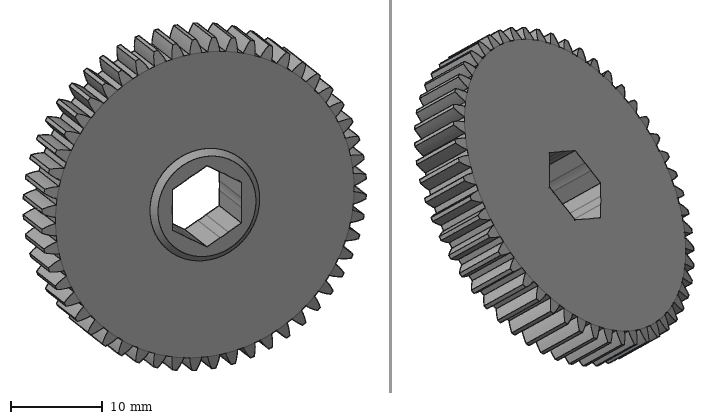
import cadquery as cq
import math

tooth_count = 52
outer_radius = 18.9
root_radius = 17.37
pressure_angle = math.radians(20)
backlash = 0.08
gear_module = 2 * outer_radius / (tooth_count + 2)
pitch_radius = gear_module * tooth_count / 2
base_radius = pitch_radius * math.cos(pressure_angle)
tooth_pitch = 2 * math.pi / tooth_count

total_width = 7.02
gear_width = 6.35
tip_bevel = 0.23
hub_base_radius = 6.4
hub_height = total_width - gear_width
hub_top_radius = hub_base_radius - hub_height
hex_across_flats = 8.0
bore_diameter = 8.08


def involute(angle):
    return math.tan(angle) - angle


def half_tooth_angle(radius):
    """Half of the angle one tooth spans at the given radius."""
    at_pitch = tooth_pitch / 4 - backlash / (2 * pitch_radius)
    return at_pitch + involute(pressure_angle) - involute(math.acos(base_radius / radius))


def polar(radius, angle):
    return (radius * math.cos(angle), radius * math.sin(angle))


def toothed_blank():
    """Extruded gear outline, with a tooth gap centred on each of the Y and Z axes."""
    middle_radius = (root_radius + outer_radius) / 2
    root_half = half_tooth_angle(root_radius)
    middle_half = half_tooth_angle(middle_radius)
    tip_half = half_tooth_angle(outer_radius)

    first_center = tooth_pitch / 2
    outline = cq.Workplane("YZ").moveTo(*polar(root_radius, first_center - root_half))
    for index in range(tooth_count):
        center = first_center + index * tooth_pitch
        next_gap = center + tooth_pitch / 2
        next_tooth = center + tooth_pitch - root_half
        outline = (
            outline
            .threePointArc(polar(middle_radius, center - middle_half), polar(outer_radius, center - tip_half))
            .threePointArc(polar(outer_radius, center), polar(outer_radius, center + tip_half))
            .threePointArc(polar(middle_radius, center + middle_half), polar(root_radius, center + root_half))
            .threePointArc(polar(root_radius, next_gap), polar(root_radius, next_tooth))
        )
    return outline.close().extrude(gear_width)


def bevel_envelope():
    """Disc whose ends slope inward from the root circle to the tooth tips."""
    profile = [
        (0, 0),
        (0, root_radius),
        (tip_bevel, outer_radius),
        (gear_width - tip_bevel, outer_radius),
        (gear_width, root_radius),
        (gear_width, 0),
    ]
    return cq.Workplane("XY").polyline(profile).close().revolve(360, (0, 0, 0), (1, 0, 0))


def hub():
    """Low conical hub on the +X face, with a core running through the gear."""
    profile = [
        (0, 0),
        (0, hub_base_radius),
        (gear_width, hub_base_radius),
        (total_width, hub_top_radius),
        (total_width, 0),
    ]
    return cq.Workplane("XY").polyline(profile).close().revolve(360, (0, 0, 0), (1, 0, 0))


def hex_bore():
    """Through hexagon with corners on Z, relieved mid-flat by a slightly larger round bore."""
    corner_diameter = hex_across_flats / math.cos(math.pi / 6)
    hexagon = (
        cq.Workplane("YZ")
        .transformed(rotate=(0, 0, 90))
        .polygon(6, corner_diameter)
        .extrude(total_width)
    )
    round_bore = cq.Workplane("YZ").circle(bore_diameter / 2).extrude(total_width)
    return hexagon.union(round_bore)


result = toothed_blank().intersect(bevel_envelope()).union(hub()).cut(hex_bore())